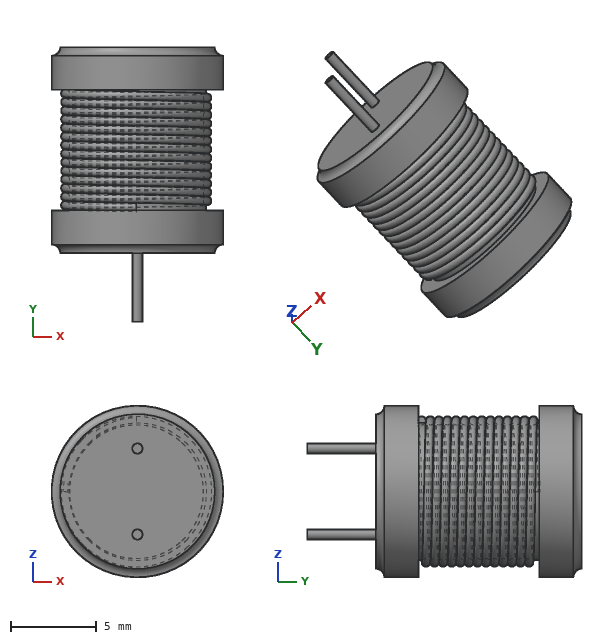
import cadquery as cq
import math


flange_radius = 5.0
flange_thickness = 2.5
rim_cove_radius = 0.5
hub_radius = 4.0
hub_length = 7.0
drum_length = hub_length + 2 * flange_thickness

lead_diameter = 0.6
lead_length = 4.0
lead_spacing = 5.0

wire_radius = 0.245
coil_outer_radius = 4.38
coil_path_radius = coil_outer_radius - wire_radius
coil_pitch = 0.5
coil_turns = 13.25
coil_rise = coil_pitch * coil_turns
coil_start_y = 2.67
coil_axis_x = -0.07


def make_drum():
    """Revolve the half profile of the hub and flanges, with a concave cove on each outer rim."""
    face_radius = flange_radius - rim_cove_radius
    cove_mid_offset = rim_cove_radius * math.sqrt(0.5)
    front_inner_y = flange_thickness
    back_inner_y = drum_length - flange_thickness
    return (
        cq.Workplane("XY")
        .moveTo(0, 0)
        .lineTo(face_radius, 0)
        .threePointArc((flange_radius - cove_mid_offset, cove_mid_offset), (flange_radius, rim_cove_radius))
        .lineTo(flange_radius, front_inner_y)
        .lineTo(hub_radius, front_inner_y)
        .lineTo(hub_radius, back_inner_y)
        .lineTo(flange_radius, back_inner_y)
        .lineTo(flange_radius, drum_length - rim_cove_radius)
        .threePointArc(
            (flange_radius - cove_mid_offset, drum_length - cove_mid_offset),
            (face_radius, drum_length),
        )
        .lineTo(0, drum_length)
        .close()
        .revolve(360, (0, 0, 0), (0, 1, 0))
    )


def make_leads():
    """Two straight leads standing out of the front flange face toward -Y."""
    return (
        cq.Workplane("XZ")
        .pushPoints([(0, -lead_spacing / 2), (0, lead_spacing / 2)])
        .circle(lead_diameter / 2)
        .extrude(lead_length)
    )


def make_coil():
    """Left-handed helix of round wire, starting at the top of the hub beside the front flange."""
    path = cq.Wire.makeHelix(coil_pitch, coil_rise, coil_path_radius, lefthand=True)
    wire = (
        cq.Workplane("XZ")
        .center(coil_path_radius, 0)
        .circle(wire_radius)
        .sweep(cq.Workplane(obj=path), isFrenet=True)
    )
    return (
        wire.rotate((0, 0, 0), (1, 0, 0), -90)
        .rotate((0, 0, 0), (0, 1, 0), -90)
        .translate((coil_axis_x, coil_start_y, 0))
    )


coil = make_coil()

core = make_drum().union(make_leads()).cut(coil)

result = cq.Compound.makeCompound([core.solids().val(), coil.val()])